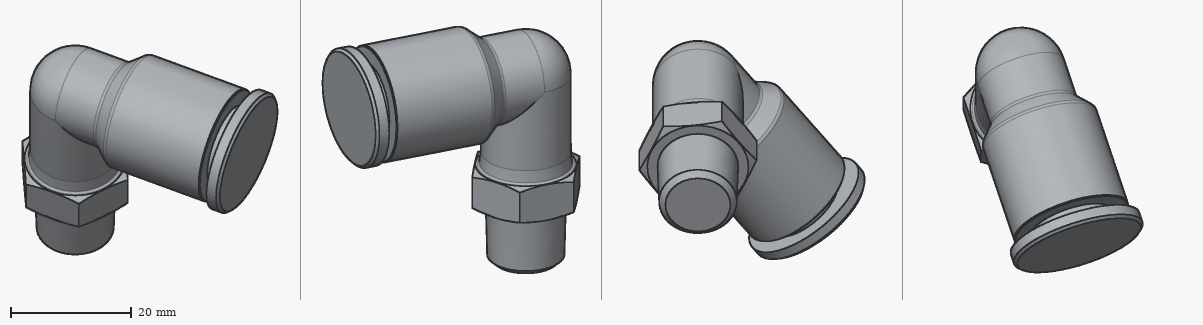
import cadquery as cq
import math

axis_height = 34.25
pipe_radius = 7.5

thread_tip_radius = 5.4
thread_low_radius = 6.45
thread_top_radius = 6.7
thread_chamfer_height = 0.97

hex_bottom = 10.9
hex_top = 17.6
hex_across_flats = 16.97
hex_corner_radius = hex_across_flats / math.sqrt(3)
hex_chamfer_radius = 8.4
hex_chamfer_height = 0.55

collar_top = 20.05
collar_radius = 7.75
collar_foot_fillet = 0.35

socket_radius = 9.95
socket_cone_start = 7.4
socket_cone_end = 10.3
socket_cone_fillet = 0.95
socket_end = 28.02
socket_rim_chamfer = 0.18

release_neck_radius = 7.05
flange_start = 29.95
flange_end = 32.2
flange_width = 22.5
flange_height = 19.8
flange_chamfer = 0.5


def revolve_about_z(points):
    """Solid of revolution about Z from (radius, height) points."""
    return cq.Workplane("XZ").polyline(points).close().revolve(360, (0, 0, 0), (0, 1, 0))


def make_thread_end():
    return revolve_about_z([
        (0, 0),
        (thread_tip_radius, 0),
        (thread_low_radius, thread_chamfer_height),
        (thread_top_radius, hex_bottom),
        (0, hex_bottom),
    ])


def make_hexagon():
    prism = (
        cq.Workplane("XY", origin=(0, 0, hex_bottom))
        .polygon(6, 2 * hex_corner_radius)
        .extrude(hex_top - hex_bottom)
    )
    corner_cutter = revolve_about_z([
        (0, hex_bottom),
        (hex_chamfer_radius, hex_bottom),
        (hex_corner_radius, hex_bottom + hex_chamfer_height),
        (hex_corner_radius, hex_top - hex_chamfer_height),
        (hex_chamfer_radius, hex_top),
        (0, hex_top),
    ])
    return prism.intersect(corner_cutter)


def make_stem():
    foot_top = hex_top + collar_foot_fillet
    foot_radius = collar_radius + collar_foot_fillet
    arc_offset = collar_foot_fillet * (1 - math.sqrt(0.5))
    return (
        cq.Workplane("XZ")
        .moveTo(0, hex_top)
        .lineTo(foot_radius, hex_top)
        .threePointArc(
            (collar_radius + arc_offset, hex_top + arc_offset),
            (collar_radius, foot_top),
        )
        .lineTo(pipe_radius, collar_top)
        .lineTo(pipe_radius, axis_height)
        .lineTo(0, axis_height)
        .close()
        .revolve(360, (0, 0, 0), (0, 1, 0))
    )


def make_elbow():
    return cq.Workplane("XY").sphere(pipe_radius).translate((0, 0, axis_height))


def make_socket():
    profile = [
        (0, 0),
        (0, pipe_radius),
        (socket_cone_start, pipe_radius),
        (socket_cone_end, socket_radius),
        (socket_end - socket_rim_chamfer, socket_radius),
        (socket_end, socket_radius - socket_rim_chamfer),
        (socket_end, release_neck_radius),
        (flange_start, release_neck_radius),
        (flange_start, 0),
    ]
    socket = cq.Workplane("XZ").polyline(profile).close().revolve(360, (0, 0, 0), (1, 0, 0))
    for edge_x in (socket_cone_start, socket_cone_end):
        edge_selector = cq.NearestToPointSelector((edge_x, 0, 0))
        socket = socket.edges(edge_selector).fillet(socket_cone_fillet)
    return socket.translate((0, 0, axis_height))


def make_flange():
    return (
        cq.Workplane("YZ", origin=(flange_start, 0, axis_height))
        .ellipse(flange_width / 2, flange_height / 2)
        .extrude(flange_end - flange_start)
        .faces(">X")
        .chamfer(flange_chamfer)
    )


result = (
    make_thread_end()
    .union(make_hexagon())
    .union(make_stem())
    .union(make_elbow())
    .union(make_socket())
    .union(make_flange())
)